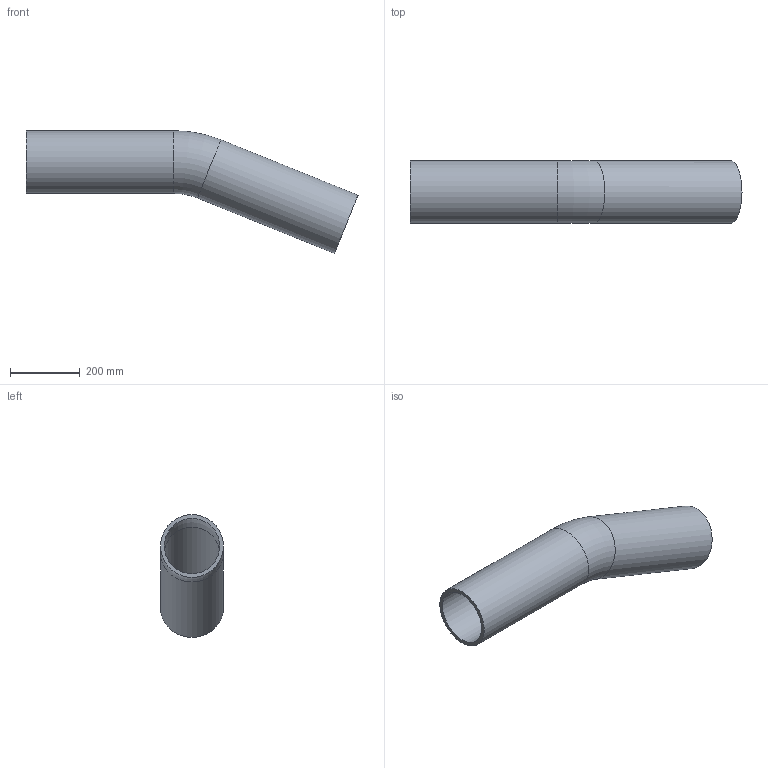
import cadquery as cq
import math

outer_diameter = 180.0
inner_diameter = 158.6

bend_angle = 22.0
bend_radius = 1.5 * outer_diameter
tangent_point_distance = 476.24
leg_length = tangent_point_distance - bend_radius * math.tan(math.radians(bend_angle / 2))


def bend_point(angle):
    """Point (x, z) on the bend centreline after turning by angle degrees."""
    turn = math.radians(angle)
    return (
        leg_length + bend_radius * math.sin(turn),
        -bend_radius * (1 - math.cos(turn)),
    )


def centreline():
    """Path through the middle of the pipe, starting at the origin."""
    end_x, end_z = bend_point(bend_angle)
    slope = math.radians(bend_angle)
    return (
        cq.Workplane("XZ")
        .lineTo(leg_length, 0)
        .threePointArc(bend_point(bend_angle / 2), (end_x, end_z))
        .lineTo(end_x + leg_length * math.cos(slope), end_z - leg_length * math.sin(slope))
    )


def bent_pipe():
    """Annular section swept along the centreline."""
    section = cq.Workplane("YZ").circle(outer_diameter / 2).circle(inner_diameter / 2)
    return section.sweep(centreline())


result = bent_pipe()